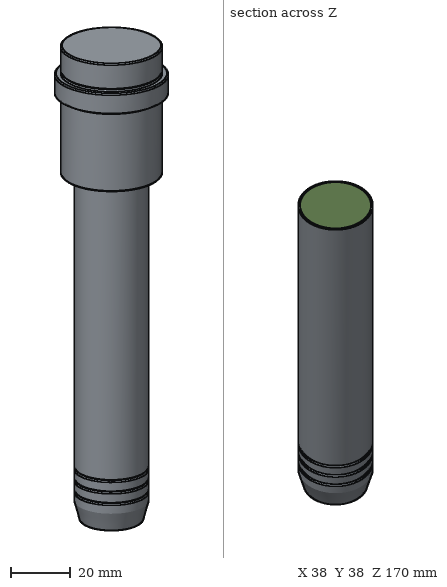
import cadquery as cq
import math

TOTAL_LENGTH = 170.0
SHAFT_LENGTH = 124.0
COLLAR_BOTTOM = 153.0
COLLAR_HEIGHT = 7.0

SHAFT_DIAMETER = 25.0
BODY_DIAMETER = 34.0
COLLAR_DIAMETER = 38.0

COLLAR_CHAMFER = 0.5
BODY_TOP_CHAMFER = 0.5
BODY_BOTTOM_CHAMFER = 0.5

COLLAR_RELIEF_WIDTH = 1.1
COLLAR_RELIEF_DEPTH = 0.5
NECK_WIDTH = 1.0
NECK_DEPTH = 0.6

GROOVE_COUNT = 3
LOWEST_GROOVE_HEIGHT = 10.5
GROOVE_PITCH = 4.1
GROOVE_WIDTH = 1.0
GROOVE_DEPTH = 0.5

TIP_LENGTH = 7.0
TIP_ANGLE = 15.0
TIP_CHAMFER = 0.4


def cylinder(diameter, bottom, height):
    """Solid cylinder about the Z axis."""
    return cq.Workplane("XY").workplane(offset=bottom).circle(diameter / 2).extrude(height)


def ring_groove(diameter, bottom, width, depth):
    """Square ring to be cut from a cylinder of the given diameter."""
    outer = cylinder(diameter, bottom, width)
    return outer.cut(cylinder(diameter - 2 * depth, bottom, width))


def vee_groove(diameter, centre_height, width, depth):
    """Triangular ring that cuts a V-groove into a cylinder of the given diameter."""
    radius = diameter / 2
    profile = [
        (radius, centre_height - width / 2),
        (radius - depth, centre_height),
        (radius, centre_height + width / 2),
    ]
    return cq.Workplane("XZ").polyline(profile).close().revolve(360, (0, 0, 0), (0, 1, 0))


def make_shaft():
    """Shaft with a conical tip, oil grooves and a relief neck below the body."""
    radius = SHAFT_DIAMETER / 2
    tip_radius = radius - TIP_LENGTH * math.tan(math.radians(TIP_ANGLE))
    profile = [
        (0, 0),
        (tip_radius, 0),
        (radius, TIP_LENGTH),
        (radius, SHAFT_LENGTH),
        (0, SHAFT_LENGTH),
    ]
    shaft = cq.Workplane("XZ").polyline(profile).close().revolve(360, (0, 0, 0), (0, 1, 0))
    shaft = shaft.faces("<Z").edges().chamfer(TIP_CHAMFER)
    for index in range(GROOVE_COUNT):
        centre = LOWEST_GROOVE_HEIGHT + index * GROOVE_PITCH
        shaft = shaft.cut(vee_groove(SHAFT_DIAMETER, centre, GROOVE_WIDTH, GROOVE_DEPTH))
    neck_bottom = SHAFT_LENGTH - NECK_WIDTH
    return shaft.cut(ring_groove(SHAFT_DIAMETER, neck_bottom, NECK_WIDTH, NECK_DEPTH))


def make_body():
    """Press-fit body with a relief groove on each side of the collar."""
    body = cylinder(BODY_DIAMETER, SHAFT_LENGTH, TOTAL_LENGTH - SHAFT_LENGTH)
    body = body.faces("<Z").edges().chamfer(BODY_BOTTOM_CHAMFER)
    body = body.faces(">Z").edges().chamfer(BODY_TOP_CHAMFER)
    collar_top = COLLAR_BOTTOM + COLLAR_HEIGHT
    for centre in (COLLAR_BOTTOM - COLLAR_RELIEF_WIDTH / 2, collar_top + COLLAR_RELIEF_WIDTH / 2):
        body = body.cut(vee_groove(BODY_DIAMETER, centre, COLLAR_RELIEF_WIDTH, COLLAR_RELIEF_DEPTH))
    return body


def make_collar():
    """Locating collar with a chamfered top rim."""
    collar = cylinder(COLLAR_DIAMETER, COLLAR_BOTTOM, COLLAR_HEIGHT)
    return collar.faces(">Z").edges().chamfer(COLLAR_CHAMFER)


result = make_shaft().union(make_body()).union(make_collar())